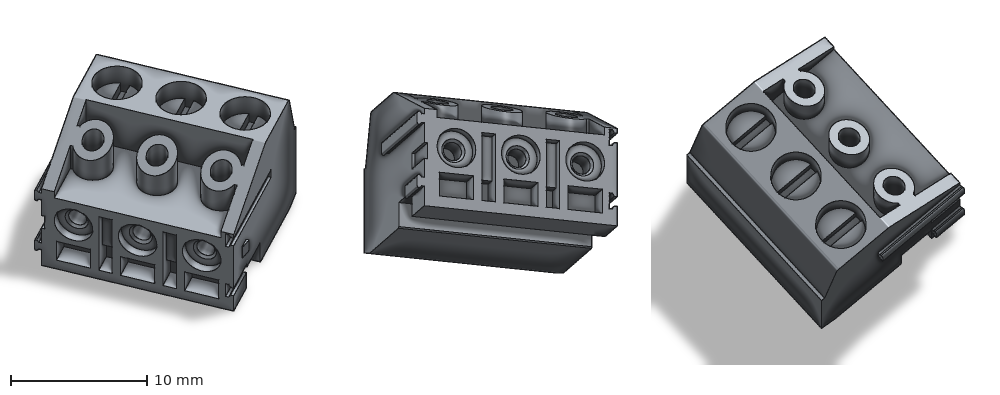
import cadquery as cq


pitch = 5.0
pole_xs = [-pitch, 0.0, pitch]
width = len(pole_xs) * pitch
depth = 13.5
height = 10.8
side_x = width / 2
cut_margin = 1.0

front_height = 7.5
slope_end_y = 6.89
back_height = 6.85
ledge_y = 13.2
back_top_y = 12.0
back_bottom_rise = 0.4
back_bottom_y = 12.1
top_back_radius = 0.3
top_front_radius = 0.3

foot_depth = 2.75
notch_end_y = 5.7
notch_height = 1.95
notch_chamfer = 0.1

wall = 1.0
recess_floor_z = 6.9
recess_back_y = 6.9
tower_y = 4.22
tower_diameter = 3.0
tower_bore_diameter = 1.6
bridge_width = 1.5

screw_y = 9.42
screw_hole_diameter = 3.7
screw_head_diameter = 3.6
screw_sink = 1.6
screw_head_height = 1.5
screw_slot_width = 0.7
screw_slot_depth = 0.8

port_z = 4.7
port_diameter = 3.0
port_depth = 0.7
port_bore_diameter = 1.4
port_bore_end_y = 2.5
port_lead_in_diameter = 1.8
port_lead_in_depth = 0.2

window_width = 2.65
window_bottom_z = 0.87
window_top_z = 2.7
window_depth = 1.6

key_slot_width = 1.04
key_slot_top_z = 6.1
key_slot_depth = 0.8

rail_reach = 0.55
rail_lip = 0.185
rail_lip_radius = 0.17
rail_neck_start = 0.2
rail_half_height = 0.525
rail_neck_half_height = 0.34
rail_zs = [6.74, 1.86]
rail_lengths = [8.0, foot_depth]

groove_reach = 0.63
groove_lip = 0.24
groove_neck_start = 0.24
groove_half_height = 0.61
groove_neck_half_height = 0.37
groove_zs = [6.77, 1.88]
groove_clearance = 0.1

latch_pocket_depth = 0.25
latch_pocket_bottom_z = 3.65
latch_pocket_top_z = 4.87
latch_reach = 0.23
latch_tip_reach = 0.05
latch_front_y = 1.8
latch_back_y = 2.7
latch_bottom_z = 3.75
latch_top_z = 4.8


def box(x_range, y_range, z_range):
    """Axis-aligned box between the given limits."""
    size = [high - low for low, high in (x_range, y_range, z_range)]
    return cq.Workplane("XY").box(*size, centered=False).translate((x_range[0], y_range[0], z_range[0]))


def upright(diameter, x, y, bottom_z, top_z):
    """Vertical cylinder."""
    return cq.Workplane("XY", origin=(x, y, bottom_z)).circle(diameter / 2).extrude(top_z - bottom_z)


def housing_blank():
    """Side outline of the housing swept over its width, with the notch under the base."""
    outline = [
        (0, 0),
        (foot_depth, 0),
        (foot_depth, notch_height),
        (notch_end_y, notch_height),
        (notch_end_y, notch_chamfer),
        (notch_end_y + notch_chamfer, 0),
        (back_bottom_y, 0),
        (depth, back_bottom_rise),
        (depth, back_height),
        (ledge_y, back_height),
        (back_top_y, height),
        (slope_end_y, height),
        (0, front_height),
    ]
    blank = cq.Workplane("YZ", origin=(-side_x, 0, 0)).polyline(outline).close().extrude(width)
    top_back_edge = cq.selectors.NearestToPointSelector((0, back_top_y, height))
    top_front_edge = cq.selectors.NearestToPointSelector((0, slope_end_y, height))
    blank = blank.edges(top_back_edge).fillet(top_back_radius)
    return blank.edges(top_front_edge).fillet(top_front_radius)


def front_recess():
    """Space above the recess floor, leaving the towers and the bridges to the side walls."""
    inner_x = side_x - wall
    recess = box((-inner_x, inner_x), (-cut_margin, recess_back_y), (recess_floor_z, height + cut_margin))
    for x in pole_xs:
        recess = recess.cut(upright(tower_diameter, x, tower_y, recess_floor_z, height + cut_margin))
    bridge_ys = (tower_y - bridge_width / 2, tower_y + bridge_width / 2)
    bridge_zs = (recess_floor_z, height + cut_margin)
    for side in (-1, 1):
        x_range = sorted((side * pitch, side * side_x))
        recess = recess.cut(box(x_range, bridge_ys, bridge_zs))
    return recess


def screw_opening(x):
    """Sunk hole around a slotted screw head, which stays joined to the housing at its base."""
    head_z = height - screw_sink
    opening = upright(screw_hole_diameter, x, screw_y, head_z - screw_head_height, height + cut_margin)
    head = upright(screw_head_diameter, x, screw_y, head_z - screw_head_height, head_z)
    slot = box(
        (x - screw_slot_width / 2, x + screw_slot_width / 2),
        (screw_y - screw_hole_diameter / 2, screw_y + screw_hole_diameter / 2),
        (head_z - screw_slot_depth, head_z),
    )
    return opening.cut(head.cut(slot))


def front_port(x):
    """Counterbored port in the front face with a conical lead-in to its bore."""
    profile = [
        (0, 0),
        (port_diameter / 2, 0),
        (port_diameter / 2, port_depth),
        (port_lead_in_diameter / 2, port_depth),
        (port_bore_diameter / 2, port_depth + port_lead_in_depth),
        (port_bore_diameter / 2, port_bore_end_y),
        (0, port_bore_end_y),
    ]
    port = cq.Workplane("XY").polyline(profile).close().revolve(360, (0, 0, 0), (0, 1, 0))
    return port.translate((x, 0, port_z))


def window(x):
    """Rectangular opening below a port."""
    x_range = (x - window_width / 2, x + window_width / 2)
    return box(x_range, (0, window_depth), (window_bottom_z, window_top_z))


def key_slot(x):
    """Tall slot between two poles, deeper at window height."""
    x_range = (x - key_slot_width / 2, x + key_slot_width / 2)
    shallow = box(x_range, (0, key_slot_depth), (window_bottom_z, key_slot_top_z))
    deep = box(x_range, (0, window_depth), (window_bottom_z, window_top_z))
    return shallow.union(deep)


def coupling_bar(base_x, z, length, reach, lip, neck_start, half_height, neck_half_height):
    """T-section bar pointing to -X from base_x, running back from the front face."""
    upper = [
        (0, neck_half_height),
        (-neck_start, neck_half_height),
        (lip - reach, half_height),
        (-reach, half_height),
    ]
    lower = [(x, -rise) for x, rise in reversed(upper)]
    section = cq.Workplane("XZ", origin=(base_x, 0, z)).polyline(upper + lower).close()
    return section.extrude(-length)


def latch_wedge():
    """Small snap wedge on the +X side, rising towards the back."""
    outline = [
        (side_x, latch_front_y),
        (side_x + latch_tip_reach, latch_front_y),
        (side_x + latch_reach, latch_back_y),
        (side_x, latch_back_y),
    ]
    plane = cq.Workplane("XY", origin=(0, 0, latch_bottom_z))
    return plane.polyline(outline).close().extrude(latch_top_z - latch_bottom_z)


result = housing_blank().cut(front_recess())

for pole_x in pole_xs:
    result = result.cut(upright(tower_bore_diameter, pole_x, tower_y, 0, height))
    result = result.cut(screw_opening(pole_x))
    result = result.cut(front_port(pole_x))
    result = result.cut(window(pole_x))

for pole_x in pole_xs[:-1]:
    result = result.cut(key_slot(pole_x + pitch / 2))

for rail_z, rail_length in zip(rail_zs, rail_lengths):
    rail = coupling_bar(
        -side_x, rail_z, rail_length,
        rail_reach, rail_lip, rail_neck_start, rail_half_height, rail_neck_half_height,
    )
    rail = rail.faces("<X").edges("|Y").fillet(rail_lip_radius)
    result = result.union(rail)

for groove_z, rail_length in zip(groove_zs, rail_lengths):
    groove = coupling_bar(
        side_x, groove_z, rail_length + groove_clearance,
        groove_reach, groove_lip, groove_neck_start, groove_half_height, groove_neck_half_height,
    )
    result = result.cut(groove)

latch_pocket = box(
    (-side_x, -side_x + latch_pocket_depth),
    (0, foot_depth),
    (latch_pocket_bottom_z, latch_pocket_top_z),
)
result = result.cut(latch_pocket).union(latch_wedge())